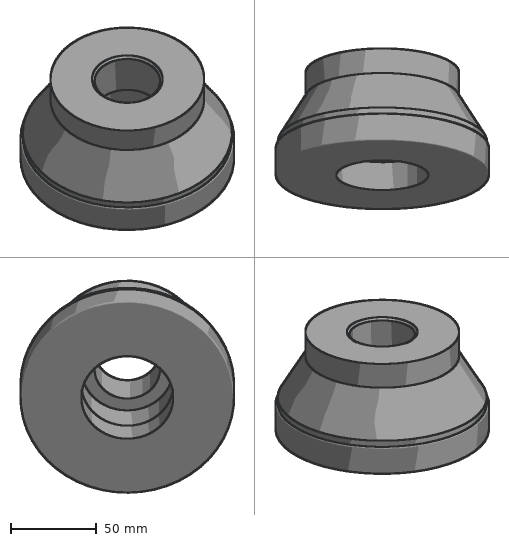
import cadquery as cq

outer_radius = 62.5
total_height = 63.0

base_height = 17.1
base_fillet = 1.0

shoulder_radius = 61.1
shoulder_top = 21.0
neck_radius = 45.0
neck_height = 15.2
neck_bottom = total_height - neck_height

bore_radius = 19.1
bore_chamfer = 1.5
recess_radius = 26.9
recess_top = 37.2


def make_base():
    """Flat disc with rounded outer edges and a clear hole as wide as the recess."""
    disc = cq.Workplane("XY").circle(outer_radius).extrude(base_height)
    disc = disc.faces("<Z or >Z").edges().fillet(base_fillet)
    opening = cq.Workplane("XY").circle(recess_radius).extrude(base_height)
    return disc.cut(opening)


def make_hub():
    """Turned hub: shoulder, cone and neck around a bore that widens into a recess below."""
    half_section = (
        cq.Workplane("XZ")
        .moveTo(recess_radius, base_height)
        .lineTo(shoulder_radius, base_height)
        .lineTo(shoulder_radius, shoulder_top)
        .lineTo(neck_radius, neck_bottom)
        .lineTo(neck_radius, total_height)
        .lineTo(bore_radius + bore_chamfer, total_height)
        .lineTo(bore_radius, total_height - bore_chamfer)
        .lineTo(bore_radius, recess_top)
        .lineTo(recess_radius, recess_top)
        .close()
    )
    return half_section.revolve(360, (0, 0, 0), (0, 1, 0))


base = make_base()
hub = make_hub()

result = cq.Compound.makeCompound([base.val(), hub.val()])